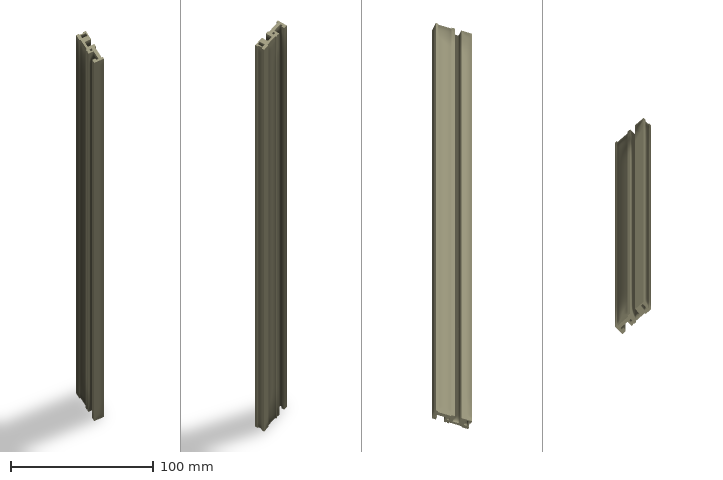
import cadquery as cq

width = 27.5
depth = 7.5
length = 426.7
right = width / 2
left = -right
back = depth / 2
front = -back

outer_wall_thickness = 1.5
groove_depth = 1.0
groove_height = 3.5
lip_thickness = 1.0
front_lip_width = 5.0
inner_wall_left = -9.5
inner_wall_right = -5.5

web_front = -3.0
web_back = -1.3
post_left = -1.0
post_right = 1.5
foot_left = 1.0
foot_right = 4.5
foot_wall = 1.3
foot_groove_left = 2.0
foot_groove_width = 1.3
foot_groove_depth = 0.5
fillet_radius = 1.0

arm_front = 0.5
arm_back = 3.0
flange_thickness = 1.5
flange_foot = 3.0


def bar(x_min, x_max, y_min, y_max):
    """Full-length bar with the given rectangular section."""
    return (
        cq.Workplane("XY")
        .box(x_max - x_min, y_max - y_min, length, centered=False)
        .translate((x_min, y_min, -length / 2))
    )


def make_left_box():
    """Hollow left box with a shallow groove in its outer face."""
    outer_wall = bar(left, left + outer_wall_thickness, front, back)
    groove = bar(left, left + groove_depth, -groove_height / 2, groove_height / 2)
    front_lip = bar(left, left + front_lip_width, front, web_front)
    back_lip = bar(left, inner_wall_right, back - lip_thickness, back)
    inner_wall = bar(inner_wall_left, inner_wall_right, web_front, back)
    return outer_wall.union(front_lip).union(back_lip).union(inner_wall).cut(groove)


def make_center():
    """Web, central post and grooved foot; a narrow duct stays open beside the post."""
    web = bar(left + outer_wall_thickness, foot_right, web_front, web_back)
    post = bar(post_left, post_right, web_front, back)
    foot = bar(foot_left, foot_right, front, web_back)
    foot_side = bar(foot_right - foot_wall, foot_right, web_back, arm_front)
    groove = bar(
        foot_groove_left,
        foot_groove_left + foot_groove_width,
        front,
        front + foot_groove_depth,
    )
    return web.union(post).union(foot).union(foot_side).cut(groove)


def make_right_side():
    """Arm and right flange, with a wider foot on the flange."""
    arm = bar(post_left, right, arm_front, arm_back)
    flange = bar(right - flange_thickness, right, front, back)
    foot = bar(right - flange_foot, right, front, web_back)
    return arm.union(flange).union(foot)


def channel_edge(x):
    """Selector for the channel-floor corner at the given X."""
    margin = 0.2
    return cq.selectors.BoxSelector(
        (x - margin, web_back - margin, -length),
        (x + margin, web_back + margin, length),
    )


profile = make_left_box().union(make_center()).union(make_right_side()).clean()
result = profile.edges(channel_edge(inner_wall_right)).fillet(fillet_radius)